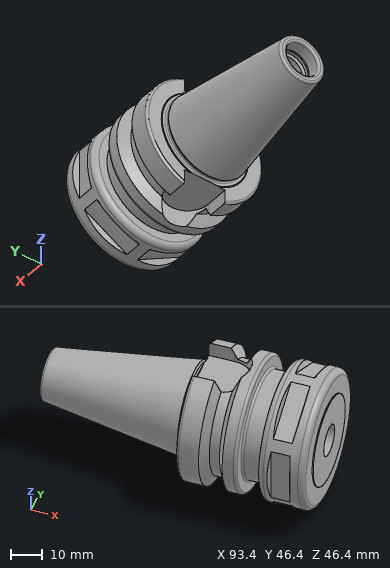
import cadquery as cq
import math

LENGTH = 93.4

TAPER_RATIO = 7 / 24
GAUGE_RADIUS = 15.9
GAUGE_X = 48.5
TIP_ROUND = 0.8
RELIEF_RADIUS = 15.4
RELIEF_START_X = 49.1
RELIEF_FILLET = 0.5

FLANGE_RADIUS = 46.0 / 2
FLANGE_START_X = 50.4
FLANGE_END_X = 70.5
FLANGE_FRONT_ROUND = 0.8
FLANGE_BACK_ROUND = 1.0
GROOVE_RADIUS = 19.15
GROOVE_FLOOR_START_X = 60.2
GROOVE_FLOOR_END_X = 63.6
GROOVE_WALL_RUN = 2.2

RING_FACE_X = 50.25
RING_FACE_RADIUS = 17.0
RING_BASE_RADIUS = 17.3

NECK_RADIUS = 36.0 / 2
NECK_FILLET = 0.75
NUT_RADIUS = 23.2
NUT_START_X = 77.4
NUT_ROUND = 2.1
END_BOSS_RADIUS = 30.4 / 2
END_BOSS_HEIGHT = 0.4

SLOT_WIDTH = 16.1
SLOT_FLOOR_Z = 16.25
SLOT_END_X = 67.3

FLAT_COUNT = 6
FLAT_DISTANCE = 21.0
FLAT_START_X = 81.4
FLAT_END_X = 87.7
FLAT_WALL_RUN = 0.7

BORE_RADIUS = 5.2
THREAD_RADIUS = 6.0
MOUTH_RADIUS = 6.3
MOUTH_DEPTH = 4.95
THREAD_END_X = 6.35
MOUTH_ROUND = 0.8

ROUND_MIDPOINT = 1 - math.sqrt(0.5)


def turned(outline):
    """Revolve a half section, drawn in XY, about the X axis."""
    return outline.close().revolve(360, (0, 0, 0), (1, 0, 0))


def rising_round(outline, x, radius, size):
    """Face at x, then a convex quarter arc up onto the cylinder of the given radius."""
    inset = size * ROUND_MIDPOINT
    return outline.lineTo(x, radius - size).threePointArc((x + inset, radius - inset), (x + size, radius))


def falling_round(outline, x, radius, size):
    """Cylinder of the given radius, then a convex quarter arc down onto the face at x."""
    inset = size * ROUND_MIDPOINT
    return outline.lineTo(x - size, radius).threePointArc((x - inset, radius - inset), (x, radius - size))


def make_body():
    tip_radius = GAUGE_RADIUS - (GAUGE_X - TIP_ROUND) * TAPER_RATIO / 2
    nut_end_x = LENGTH - END_BOSS_HEIGHT
    outline = cq.Workplane("XY").moveTo(0, 0)
    outline = rising_round(outline, 0, tip_radius, TIP_ROUND)
    outline = outline.lineTo(GAUGE_X, GAUGE_RADIUS)
    outline = outline.lineTo(RELIEF_START_X, RELIEF_RADIUS).lineTo(RING_FACE_X - RELIEF_FILLET, RELIEF_RADIUS)
    inset = RELIEF_FILLET * ROUND_MIDPOINT
    outline = outline.threePointArc(
        (RING_FACE_X - inset, RELIEF_RADIUS + inset), (RING_FACE_X, RELIEF_RADIUS + RELIEF_FILLET)
    )
    outline = outline.lineTo(RING_FACE_X, RING_FACE_RADIUS).lineTo(FLANGE_START_X, RING_BASE_RADIUS)

    outline = rising_round(outline, FLANGE_START_X, FLANGE_RADIUS, FLANGE_FRONT_ROUND)
    outline = outline.lineTo(GROOVE_FLOOR_START_X - GROOVE_WALL_RUN, FLANGE_RADIUS)
    outline = outline.lineTo(GROOVE_FLOOR_START_X, GROOVE_RADIUS).lineTo(GROOVE_FLOOR_END_X, GROOVE_RADIUS)
    outline = outline.lineTo(GROOVE_FLOOR_END_X + GROOVE_WALL_RUN, FLANGE_RADIUS)
    outline = falling_round(outline, FLANGE_END_X, FLANGE_RADIUS, FLANGE_BACK_ROUND)

    inset = NECK_FILLET * ROUND_MIDPOINT
    outline = outline.lineTo(FLANGE_END_X, NECK_RADIUS + NECK_FILLET).threePointArc(
        (FLANGE_END_X + inset, NECK_RADIUS + inset), (FLANGE_END_X + NECK_FILLET, NECK_RADIUS)
    )
    outline = outline.lineTo(NUT_START_X, NECK_RADIUS)
    outline = rising_round(outline, NUT_START_X, NUT_RADIUS, NUT_ROUND)
    outline = falling_round(outline, nut_end_x, NUT_RADIUS, NUT_ROUND)
    outline = outline.lineTo(nut_end_x, END_BOSS_RADIUS).lineTo(LENGTH, END_BOSS_RADIUS).lineTo(LENGTH, 0)
    return turned(outline)


def make_bore():
    inset = MOUTH_ROUND * ROUND_MIDPOINT
    mouth_arc_middle = (inset, MOUTH_RADIUS + inset)
    outline = cq.Workplane("XY").moveTo(0, 0).lineTo(0, MOUTH_RADIUS + MOUTH_ROUND)
    outline = outline.threePointArc(mouth_arc_middle, (MOUTH_ROUND, MOUTH_RADIUS))
    outline = outline.lineTo(MOUTH_DEPTH, MOUTH_RADIUS)
    outline = outline.lineTo(MOUTH_DEPTH + MOUTH_RADIUS - THREAD_RADIUS, THREAD_RADIUS)
    outline = outline.lineTo(THREAD_END_X, THREAD_RADIUS)
    outline = outline.lineTo(THREAD_END_X + THREAD_RADIUS - BORE_RADIUS, BORE_RADIUS)
    outline = outline.lineTo(LENGTH, BORE_RADIUS).lineTo(LENGTH, 0)
    return turned(outline)


def make_drive_slot():
    """Round-ended slot, open towards the taper, on the +Z side."""
    half_width = SLOT_WIDTH / 2
    arc_x = SLOT_END_X - half_width
    return (
        cq.Workplane("XY", origin=(0, 0, SLOT_FLOOR_Z))
        .moveTo(RING_FACE_X, -half_width)
        .lineTo(arc_x, -half_width)
        .threePointArc((SLOT_END_X, 0), (arc_x, half_width))
        .lineTo(RING_FACE_X, half_width)
        .close()
        .extrude(FLANGE_RADIUS - SLOT_FLOOR_Z)
    )


def make_wrench_pocket():
    """Flat-bottomed pocket with sloping ends, on the +Y side."""
    return (
        cq.Workplane("XY")
        .moveTo(FLAT_START_X, FLAT_DISTANCE)
        .lineTo(FLAT_END_X, FLAT_DISTANCE)
        .lineTo(FLAT_END_X + FLAT_WALL_RUN, NUT_RADIUS)
        .lineTo(FLAT_START_X - FLAT_WALL_RUN, NUT_RADIUS)
        .close()
        .extrude(NUT_RADIUS, both=True)
    )


result = make_body().cut(make_bore())

for angle in (0, 180):
    result = result.cut(make_drive_slot().rotate((0, 0, 0), (1, 0, 0), angle))

for index in range(FLAT_COUNT):
    angle = index * 360 / FLAT_COUNT
    result = result.cut(make_wrench_pocket().rotate((0, 0, 0), (1, 0, 0), angle))